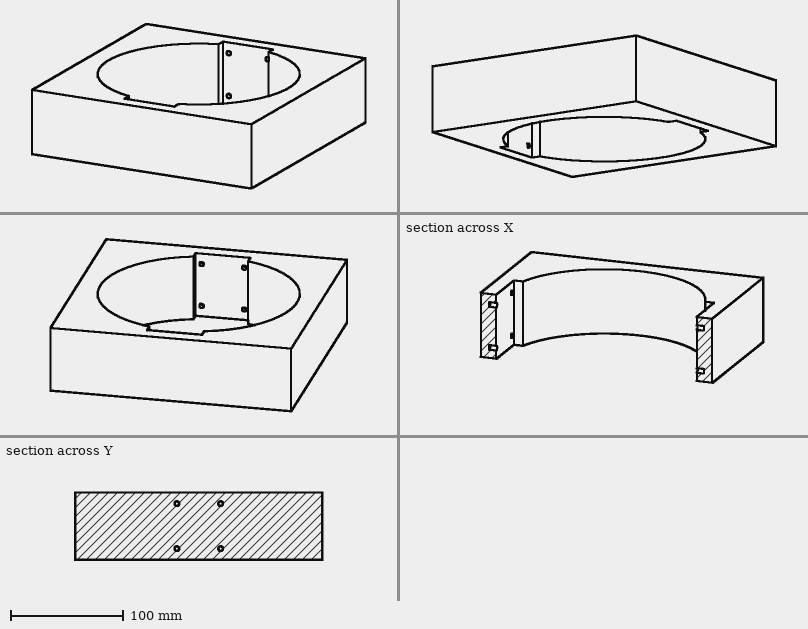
import cadquery as cq

side = 220.0
height = 60.0

bore_diameter = 180.0
keyway_width = 50.0
keyway_span = 190.0

hole_diameter = 4.0
hole_depth = 6.5
hole_spacing_x = 39.0
hole_spacing_z = 40.0


def make_block():
    """Square block standing on the XY plane."""
    return cq.Workplane("XY").box(side, side, height, centered=(True, True, False))


def make_opening():
    """Round bore joined with the slot that forms both keyways."""
    bore = cq.Workplane("XY").circle(bore_diameter / 2).extrude(height)
    slot = cq.Workplane("XY").rect(keyway_width, keyway_span).extrude(height)
    return bore.union(slot)


def make_keyway_holes(direction):
    """Four holes drilled into the keyway floor on the +Y (1) or -Y (-1) side."""
    floor = cq.Plane(
        origin=(0, direction * keyway_span / 2, height / 2),
        xDir=(1, 0, 0),
        normal=(0, direction, 0),
    )
    return (
        cq.Workplane(floor)
        .rarray(hole_spacing_x, hole_spacing_z, 2, 2)
        .circle(hole_diameter / 2)
        .extrude(hole_depth)
    )


result = make_block().cut(make_opening())
for direction in (1, -1):
    result = result.cut(make_keyway_holes(direction))